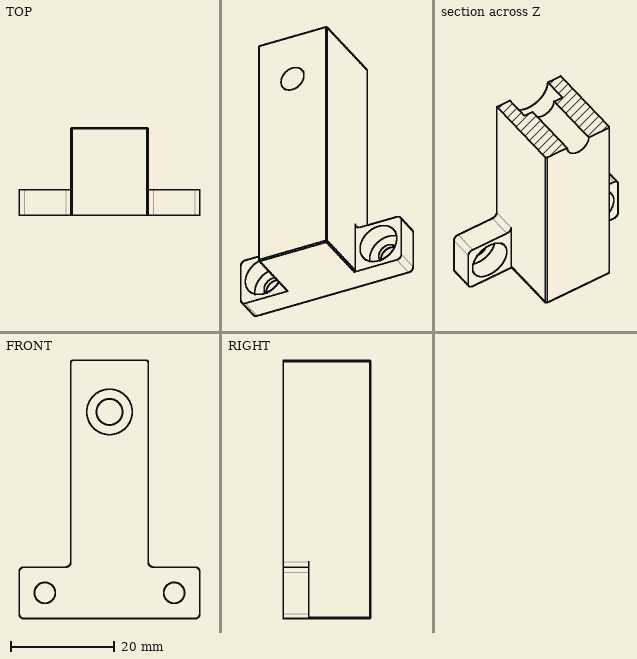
import cadquery as cq

FLANGE_WIDTH = 35.0
FLANGE_HEIGHT = 10.0
FLANGE_THICKNESS = 5.0
CORNER_RADIUS = 1.0

POST_WIDTH = 15.0
POST_DEPTH = 17.0
POST_HEIGHT = 50.0
EDGE_CHAMFER = 0.25

MOUNT_HOLE_DIAMETER = 4.0
MOUNT_HOLE_SPACING = 25.0
MOUNT_HOLE_HEIGHT = FLANGE_HEIGHT / 2
MOUNT_RECESS_DIAMETER = 8.0
MOUNT_RECESS_DEPTH = 4.0

BOLT_HOLE_DIAMETER = 5.0
COUNTERBORE_DIAMETER = 8.8
COUNTERBORE_DEPTH = 5.0
BOLT_HOLE_FROM_TOP = 10.0
BOLT_HOLE_HEIGHT = POST_HEIGHT - BOLT_HOLE_FROM_TOP


def front_block(width, depth, height):
    """Block centred on X, standing on Z = 0, with its front face at Y = 0."""
    return cq.Workplane("XY").box(width, depth, height, centered=(True, False, False))


def bore(diameter, depth, x, z, start_y=0):
    """Cylinder running in the +Y direction from start_y, by default the front face."""
    axis_start = cq.Vector(x, start_y, z)
    return cq.Workplane(cq.Solid.makeCylinder(diameter / 2, depth, axis_start, cq.Vector(0, 1, 0)))


def make_flange():
    flange = front_block(FLANGE_WIDTH, FLANGE_THICKNESS, FLANGE_HEIGHT)
    return flange.edges("|Y").fillet(CORNER_RADIUS)


def make_post():
    """Post with its back edges and its four front-to-back edges chamfered."""
    post = front_block(POST_WIDTH, POST_DEPTH, POST_HEIGHT)
    return post.edges("|Y or >Y").chamfer(EDGE_CHAMFER)


def fillet_inner_corners(body):
    """Round the corners where the post rises out of the flange."""
    search_margin = CORNER_RADIUS / 2
    corner_region = cq.selectors.BoxSelector(
        (-POST_WIDTH / 2 - search_margin, 0, FLANGE_HEIGHT - search_margin),
        (POST_WIDTH / 2 + search_margin, FLANGE_THICKNESS, FLANGE_HEIGHT + search_margin),
    )
    return body.edges(corner_region).edges("|Y").fillet(CORNER_RADIUS)


def cut_mount_holes(body):
    recess_floor = FLANGE_THICKNESS - MOUNT_RECESS_DEPTH
    for x in (-MOUNT_HOLE_SPACING / 2, MOUNT_HOLE_SPACING / 2):
        body = body.cut(bore(MOUNT_HOLE_DIAMETER, FLANGE_THICKNESS, x, MOUNT_HOLE_HEIGHT))
        body = body.cut(bore(MOUNT_RECESS_DIAMETER, MOUNT_RECESS_DEPTH, x, MOUNT_HOLE_HEIGHT, recess_floor))
    return body


def cut_bolt_hole(body):
    body = body.cut(bore(BOLT_HOLE_DIAMETER, POST_DEPTH, 0, BOLT_HOLE_HEIGHT))
    return body.cut(bore(COUNTERBORE_DIAMETER, COUNTERBORE_DEPTH, 0, BOLT_HOLE_HEIGHT))


bracket = fillet_inner_corners(make_flange().union(make_post()))
result = cut_bolt_hole(cut_mount_holes(bracket))